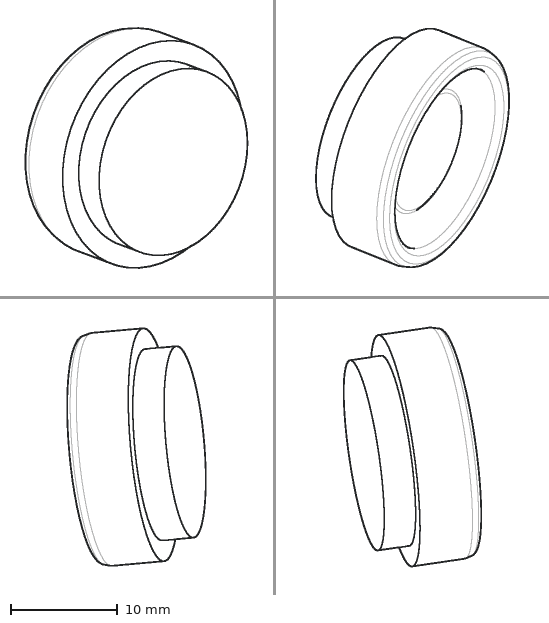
import cadquery as cq
import math

head_radius = 10.95
head_length = 6.0
spigot_radius = 9.0
total_length = 9.0

taper_length = 1.0
taper_angle = math.radians(15)
edge_radius = 0.5
rim_outer_radius = 10.3
rim_inner_radius = 9.48

groove_radius = 1.73
pad_radius = 5.85
pad_x = 2.4

centre_distance = groove_radius + edge_radius
pad_edge_x = pad_x + edge_radius
half_span_x = (pad_edge_x - edge_radius) / 2
half_span_radius = (rim_inner_radius - pad_radius) / 2
half_span = math.hypot(half_span_x, half_span_radius)
centre_offset = math.sqrt(centre_distance**2 - half_span**2)
groove_x = edge_radius + half_span_x - centre_offset * half_span_radius / half_span
groove_centre_radius = pad_radius + half_span_radius - centre_offset * half_span_x / half_span

groove_lip_angle = math.atan2(rim_inner_radius - groove_centre_radius, edge_radius - groove_x)
groove_pad_angle = math.atan2(pad_radius - groove_centre_radius, pad_edge_x - groove_x)


def arc_point(centre_x, centre_radius, radius, angle):
    """Point (X, distance from axis) on an arc; the angle turns from +X outward."""
    return (
        centre_x + radius * math.cos(angle),
        centre_radius + radius * math.sin(angle),
    )


def pad_edge_point(angle):
    return arc_point(pad_edge_x, pad_radius, edge_radius, angle)


def groove_point(angle):
    return arc_point(groove_x, groove_centre_radius, groove_radius, angle)


def lip_point(angle):
    return arc_point(edge_radius, rim_inner_radius, edge_radius, angle)


def rim_point(angle):
    return arc_point(edge_radius, rim_outer_radius, edge_radius, angle)


rim_end_angle = math.pi / 2 + taper_angle
rim_middle_angle = (math.pi + rim_end_angle) / 2
pad_end_angle = groove_pad_angle + math.pi
pad_middle_angle = (pad_end_angle + math.pi) / 2
groove_middle_angle = (groove_lip_angle + groove_pad_angle) / 2
lip_start_angle = groove_lip_angle - math.pi
lip_middle_angle = (lip_start_angle - math.pi) / 2

profile = (
    cq.Workplane("XY")
    .moveTo(pad_x, 0)
    .lineTo(pad_x, pad_radius)
    .threePointArc(pad_edge_point(pad_middle_angle), pad_edge_point(pad_end_angle))
    .threePointArc(groove_point(groove_middle_angle), groove_point(groove_lip_angle))
    .threePointArc(lip_point(lip_middle_angle), lip_point(-math.pi))
    .lineTo(0, rim_outer_radius)
    .threePointArc(rim_point(rim_middle_angle), rim_point(rim_end_angle))
    .lineTo(taper_length, head_radius)
    .lineTo(head_length, head_radius)
    .lineTo(head_length, spigot_radius)
    .lineTo(total_length, spigot_radius)
    .lineTo(total_length, 0)
    .close()
)

result = profile.revolve(360, (0, 0, 0), (1, 0, 0))